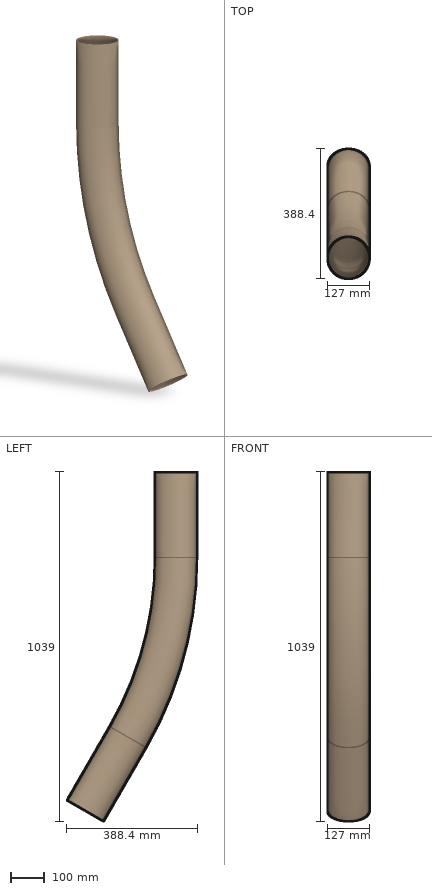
import cadquery as cq
import math

outer_diameter = 127.0
inner_diameter = 124.0
overall_height = 1039.0
leg_length = 254.0
bend_angle = 30.0

angle = math.radians(bend_angle)
outer_radius = outer_diameter / 2

bend_height = overall_height - leg_length * (1 + math.cos(angle)) - outer_radius * math.sin(angle)
bend_radius = bend_height / math.sin(angle)


def bend_point(turn):
    """Point (y, z) on the bend centreline after turning by the given angle in radians."""
    y = bend_radius * (1 - math.cos(turn))
    z = -leg_length - bend_radius * math.sin(turn)
    return y, z


bend_end_y, bend_end_z = bend_point(angle)
lower_end = (
    bend_end_y + leg_length * math.sin(angle),
    bend_end_z - leg_length * math.cos(angle),
)
centreline = (
    cq.Workplane("YZ")
    .lineTo(*bend_point(0))
    .threePointArc(bend_point(angle / 2), (bend_end_y, bend_end_z))
    .lineTo(*lower_end)
)

result = (
    cq.Workplane("XY")
    .circle(outer_radius)
    .circle(inner_diameter / 2)
    .sweep(centreline)
)